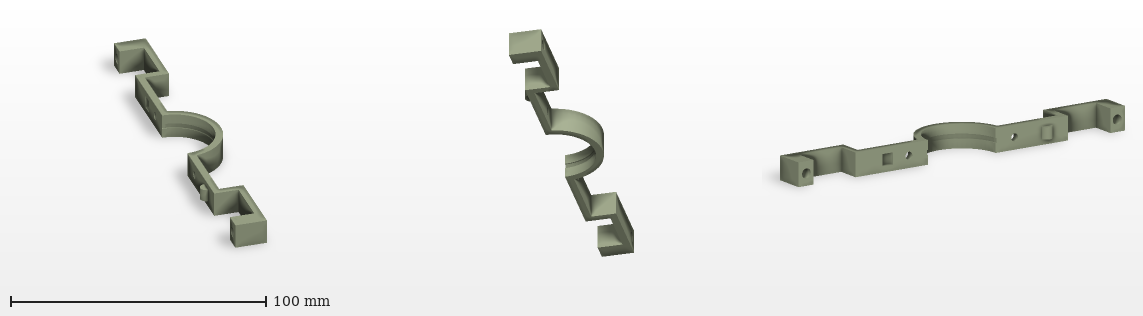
import cadquery as cq

overall_length = 154.5
height = 10.0
wall = 3.0
mid_height = height / 2

saddle_inner_radius = 16.0
saddle_outer_radius = saddle_inner_radius + wall
groove_radius = 16.5
groove_height = 2.0

half_length = overall_length / 2
end_block_width = 7.0
raised_inner_y = 10.0
raised_outer_y = raised_inner_y + wall
pocket_length = 20.0
step_x = half_length - end_block_width - pocket_length

end_hole_diameter = 4.1
end_hole_x = 73.5
flange_hole_diameter = 3.2
flange_hole_x = 25.0

key_radius = 2.5
key_height = 5.0
key_x = 40.0
socket_x = -35.0


def block(x_min, x_max, y_min, y_max):
    """Full-height box between the given X and Y limits."""
    box = cq.Workplane("XY").box(x_max - x_min, y_max - y_min, height, centered=False)
    return box.translate((x_min, y_min, 0))


def right_arm():
    """Flange, step, raised bar and end block on the +X side."""
    flange = block(saddle_inner_radius, step_x, 0, wall)
    step = block(step_x - wall, step_x, 0, raised_outer_y)
    raised_bar = block(step_x - wall, half_length, raised_inner_y, raised_outer_y)
    end_block = block(half_length - end_block_width, half_length, 0, raised_outer_y)
    return flange.union(step).union(raised_bar).union(end_block)


def upright_cylinder(x, radius, length):
    """Cylinder parallel to Z, centred at mid height on the mating face."""
    bottom = mid_height - length / 2
    return cq.Workplane("XY", origin=(x, 0, bottom)).circle(radius).extrude(length)


def saddle():
    """Half disc of the saddle's outer radius, on the +Y side."""
    front_half = block(-saddle_outer_radius, saddle_outer_radius, -saddle_outer_radius, 0)
    return upright_cylinder(0, saddle_outer_radius, height).cut(front_half)


def holes(x, diameter):
    """Mirrored pair of holes through the part along Y."""
    return (
        cq.Workplane("XZ", origin=(0, 0, mid_height))
        .pushPoints([(-x, 0), (x, 0)])
        .circle(diameter / 2)
        .extrude(-raised_outer_y)
    )


arm = right_arm()
body = arm.union(arm.mirror("YZ")).union(saddle())
body = body.cut(upright_cylinder(0, saddle_inner_radius, height))
body = body.cut(upright_cylinder(0, groove_radius, groove_height))
body = body.cut(holes(end_hole_x, end_hole_diameter))
body = body.cut(holes(flange_hole_x, flange_hole_diameter))
body = body.cut(upright_cylinder(socket_x, key_radius, key_height))
result = body.union(upright_cylinder(key_x, key_radius, key_height))